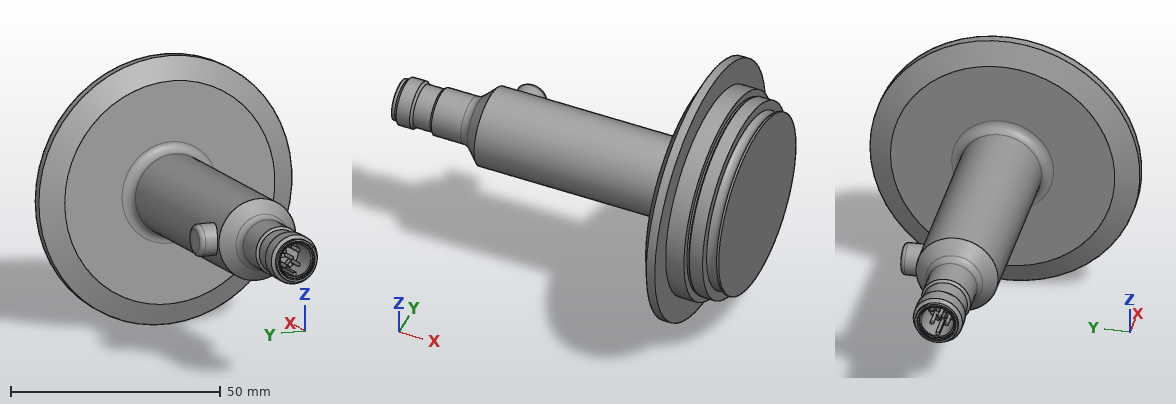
import cadquery as cq
import math

length = 93.2

tip_radius = 10.4 / 2
plug_radius = 12.0 / 2
groove_radius = 10.8 / 2
collar_end = 5.7
groove_end = 10.2
plug_chamfer = plug_radius - groove_radius
collar_front = 0.8
collar_bevel_end = 1.6

stem_radius = 20.0 / 2
cone_end = 23.7
cone_angle = math.radians(45)
cone_blend_radius = 3.1
flange_blend_radius = 2.4

flange_radius = 66.0 / 2
flange_face_radius = 27.4
flange_front = 76.05
flange_bevel_end = 78.7
flange_back = 80.9

large_step_radius = 53.0 / 2
large_step_end = 85.65
small_step_radius = 50.0 / 2
small_step_end = 89.8
relief_depth = 0.3
relief_end = 86.1

lip_radius = 46.0 / 2
lip_width = 0.6
neck_front_radius = 22.6
neck_radius = 22.0
neck_x = 91.15

button_x = 28.5
button_radius = 3.9
button_top = 14.2
button_rounding = 1.1

mouth_radius = 9.4 / 2
mouth_depth = 0.3
throat_radius = 4.4
throat_depth = 0.8
bore_radius = 4.0
bore_depth = 8.4

key_width = 0.8
key_inner = 3.2
key_front = 1.4

contact_width = 0.9
contact_length = 2.0
pin_front = 3.1
pin_rounding = 0.2
tail_front = 6.5
outer_pin_offset = 1.8


def turned_body():
    """Solid of revolution from the connector tip to the rear lip."""
    blend_rise = cone_blend_radius * (1 - math.cos(cone_angle))
    blend_run = cone_blend_radius * math.sin(cone_angle)
    blend_end_radius = plug_radius + blend_rise
    blend_end = cone_end - (stem_radius - blend_end_radius) / math.tan(cone_angle)
    blend_start = blend_end - blend_run
    half_angle = cone_angle / 2
    blend_mid = (
        blend_start + cone_blend_radius * math.sin(half_angle),
        plug_radius + cone_blend_radius * (1 - math.cos(half_angle)),
    )
    quarter_mid = flange_blend_radius * math.sin(math.pi / 4)
    flange_blend_mid = (
        flange_front - flange_blend_radius + quarter_mid,
        stem_radius + flange_blend_radius - quarter_mid,
    )
    relief_radius = small_step_radius - relief_depth

    profile = (
        cq.Workplane("XY")
        .moveTo(0, 0)
        .lineTo(0, tip_radius)
        .lineTo(collar_front, tip_radius)
        .lineTo(collar_bevel_end, plug_radius)
        .lineTo(collar_end - plug_chamfer, plug_radius)
        .lineTo(collar_end, groove_radius)
        .lineTo(groove_end, groove_radius)
        .lineTo(groove_end + plug_chamfer, plug_radius)
        .lineTo(blend_start, plug_radius)
        .threePointArc(blend_mid, (blend_end, blend_end_radius))
        .lineTo(cone_end, stem_radius)
        .lineTo(flange_front - flange_blend_radius, stem_radius)
        .threePointArc(flange_blend_mid, (flange_front, stem_radius + flange_blend_radius))
        .lineTo(flange_front, flange_face_radius)
        .lineTo(flange_bevel_end, flange_radius)
        .lineTo(flange_back, flange_radius)
        .lineTo(flange_back, large_step_radius)
        .lineTo(large_step_end, large_step_radius)
        .lineTo(large_step_end, relief_radius)
        .lineTo(relief_end, relief_radius)
        .lineTo(relief_end + relief_depth, small_step_radius)
        .lineTo(small_step_end, small_step_radius)
        .lineTo(small_step_end, neck_front_radius)
        .threePointArc((neck_x, neck_radius), (length - lip_width, lip_radius))
        .lineTo(length, lip_radius)
        .lineTo(length, 0)
        .close()
    )
    return profile.revolve(360, (0, 0, 0), (1, 0, 0))


def side_button():
    """Round button from the stem axis outwards, with a rounded outer edge."""
    button = cq.Workplane("XZ", origin=(button_x, 0, 0)).circle(button_radius).extrude(-button_top)
    return button.faces(">Y").edges().fillet(button_rounding)


def socket():
    """Stepped round opening in the connector end, less the keying rib at its bottom."""
    mouth = cq.Workplane("YZ").circle(mouth_radius).extrude(mouth_depth)
    throat = cq.Workplane("YZ").circle(throat_radius).extrude(throat_depth)
    bore = cq.Workplane("YZ").circle(bore_radius).extrude(bore_depth)
    key_height = mouth_radius - key_inner
    key = cq.Workplane("XY").box(
        bore_depth - key_front, key_width, key_height, centered=(False, True, False)
    )
    return mouth.union(throat).union(bore).cut(key.translate((key_front, 0, -mouth_radius)))


def contact(tail_direction):
    """Pin on the socket axis with a rounded tip; its tail runs sideways, turned about X from +Y."""
    pin = (
        cq.Workplane("YZ", origin=(pin_front, 0, 0))
        .circle(contact_width / 2)
        .extrude(bore_depth - pin_front)
        .faces("<X")
        .edges()
        .fillet(pin_rounding)
    )
    tail = cq.Workplane("XY").box(
        bore_depth - tail_front,
        contact_length - contact_width / 2,
        contact_width,
        centered=(False, False, True),
    )
    both = pin.union(tail.translate((tail_front, 0, 0)))
    return both.rotate((0, 0, 0), (1, 0, 0), tail_direction)


outer_tails = ((1, 135), (-1, 45))

result = turned_body().union(side_button()).cut(socket())
result = result.union(contact(0))
for side_z in (-1, 1):
    for side_y, tail_angle in outer_tails:
        place = (0, side_y * outer_pin_offset, side_z * outer_pin_offset)
        result = result.union(contact(side_z * tail_angle).translate(place))